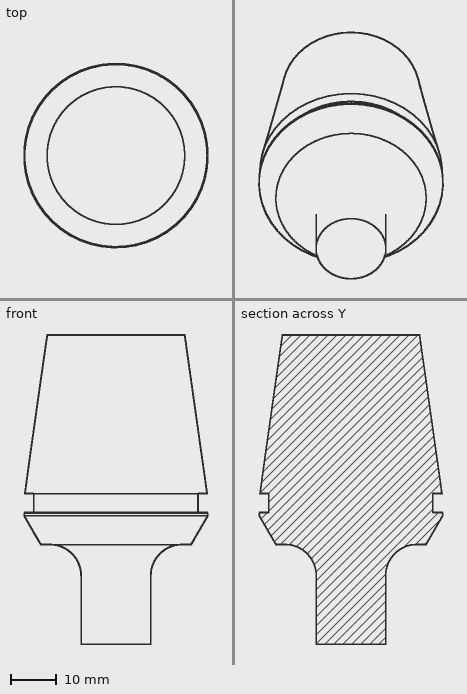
import cadquery as cq

total_height = 68.0
stem_top = 15.1
flare_top = 21.9
rim_bottom = 28.3
rim_top = 29.0
cap_bottom = 33.1

stem_radius = 15.4 / 2
flange_bottom_radius = 33.05 / 2
rim_radius = 40.45 / 2
groove_radius = 36.2 / 2
cap_bottom_radius = 40.1 / 2
cap_top_radius = 30.25 / 2

rim_chamfer = 0.2

flare_radius = flare_top - stem_top
flare_outer_radius = stem_radius + flare_radius
diagonal_offset = flare_radius * (1 - 0.5 ** 0.5)
flare_middle = (stem_radius + diagonal_offset, flare_top - diagonal_offset)

half_section = (
    cq.Workplane("XZ")
    .lineTo(stem_radius, 0)
    .lineTo(stem_radius, stem_top)
    .threePointArc(flare_middle, (flare_outer_radius, flare_top))
    .lineTo(flange_bottom_radius, flare_top)
    .lineTo(rim_radius, rim_bottom)
    .lineTo(rim_radius, rim_top - rim_chamfer)
    .lineTo(rim_radius - rim_chamfer, rim_top)
    .lineTo(groove_radius, rim_top)
    .lineTo(groove_radius, cap_bottom)
    .lineTo(cap_bottom_radius, cap_bottom)
    .lineTo(cap_top_radius, total_height)
    .lineTo(0, total_height)
    .close()
)
result = half_section.revolve(360, (0, 0, 0), (0, 1, 0))